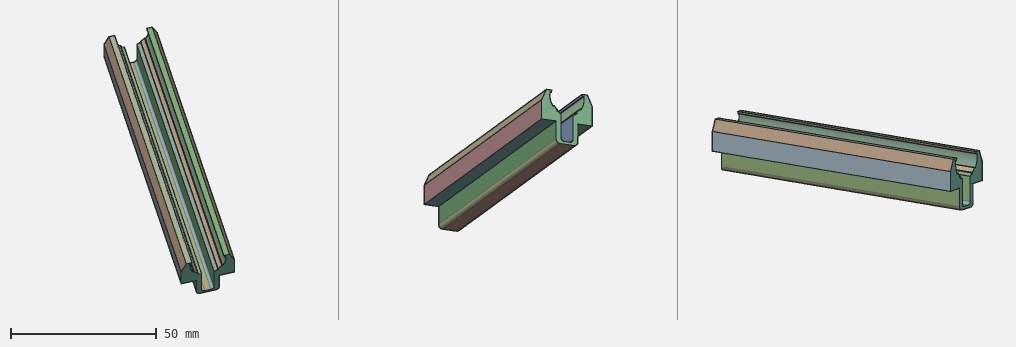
import cadquery as cq
import math

LENGTH = 100.0
WIDTH = 19.0
HEIGHT = 19.0

SHOULDER_Z = 8.0
HEAD_CHAMFER_WIDTH = 1.8
HEAD_CHAMFER_HEIGHT = 4.0

STEM_WIDTH = 8.2
STEM_CORNER_RADIUS = 1.45
SLOT_WIDTH = 4.4
SLOT_FLOOR_Z = 1.0
SLOT_CORNER_RADIUS = 1.1

CRADLE_CENTER_Z = 17.0
LAND_RADIUS = 6.0
RELIEF_RADIUS = 6.4
LIP_START_ANGLE = 11.0
LAND_UPPER_ANGLE = -35.0
LAND_LOWER_ANGLE = -54.5


def cradle_point(radius, angle):
    """(Y, Z) point on the +Y side of the cradle."""
    turn = math.radians(angle)
    return (radius * math.cos(turn), CRADLE_CENTER_Z + radius * math.sin(turn))


def angle_at_y(radius, y):
    """Downward angle at which a cradle circle reaches the given Y."""
    return -math.degrees(math.acos(y / radius))


def angle_at_z(radius, z):
    """Angle at which a cradle circle reaches the given Z."""
    return math.degrees(math.asin((z - CRADLE_CENTER_Z) / radius))


def cradle_arc(outline, radius, start_angle, end_angle):
    """Continue the outline along a cradle circle from its current point."""
    middle = cradle_point(radius, (start_angle + end_angle) / 2)
    return outline.threePointArc(middle, cradle_point(radius, end_angle))


def half_profile():
    """Closed +Y half of the rail's cross-section."""
    half_width = WIDTH / 2
    half_stem = STEM_WIDTH / 2
    half_slot = SLOT_WIDTH / 2
    lip_end_angle = angle_at_z(LAND_RADIUS, HEIGHT)
    slot_angle = angle_at_y(RELIEF_RADIUS, half_slot)

    outline = (
        cq.Workplane("YZ")
        .moveTo(0, 0)
        .lineTo(half_stem, 0)
        .lineTo(half_stem, SHOULDER_Z)
        .lineTo(half_width, SHOULDER_Z)
        .lineTo(half_width, HEIGHT - HEAD_CHAMFER_HEIGHT)
        .lineTo(half_width - HEAD_CHAMFER_WIDTH, HEIGHT)
        .lineTo(*cradle_point(LAND_RADIUS, lip_end_angle))
    )
    outline = cradle_arc(outline, LAND_RADIUS, lip_end_angle, LIP_START_ANGLE)
    outline = outline.lineTo(*cradle_point(RELIEF_RADIUS, LIP_START_ANGLE))
    outline = cradle_arc(outline, RELIEF_RADIUS, LIP_START_ANGLE, LAND_UPPER_ANGLE)
    outline = outline.lineTo(*cradle_point(LAND_RADIUS, LAND_UPPER_ANGLE))
    outline = cradle_arc(outline, LAND_RADIUS, LAND_UPPER_ANGLE, LAND_LOWER_ANGLE)
    outline = outline.lineTo(*cradle_point(RELIEF_RADIUS, LAND_LOWER_ANGLE))
    outline = cradle_arc(outline, RELIEF_RADIUS, LAND_LOWER_ANGLE, slot_angle)
    return outline.lineTo(half_slot, SLOT_FLOOR_Z).lineTo(0, SLOT_FLOOR_Z).close()


def edge_along_x(y, z):
    """Selector for the lengthwise edge nearest to the given (Y, Z)."""
    return cq.selectors.NearestToPointSelector((LENGTH / 2, y, z))


half_rail = half_profile().extrude(LENGTH)
half_rail = half_rail.edges(edge_along_x(STEM_WIDTH / 2, 0)).fillet(STEM_CORNER_RADIUS)
half_rail = half_rail.edges(edge_along_x(SLOT_WIDTH / 2, SLOT_FLOOR_Z)).fillet(SLOT_CORNER_RADIUS)

rail = half_rail.union(half_rail.mirror("XZ")).clean()
result = rail.translate((-LENGTH / 2, 0, 0))